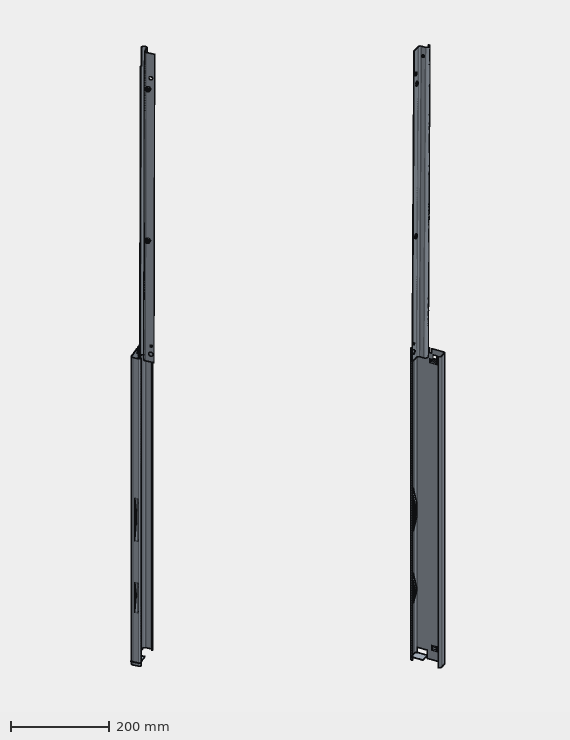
import cadquery as cq

TOTAL_HEIGHT = 1485.01
TOTAL_WIDTH = 49.43
CHANNEL_DEPTH = 70.8
MEMBER_LENGTH = 749.0
SHEET = 1.8

WEB_X = 4.5
LIP_X = 27.0
WEB_BEND = 5.5
LIP_BEND = 5.0
LIP_DEPTH = 6.0

TABS = [(37.5, 51.0, 22.0, 34.0), (33.0, 52.0, 713.0, 723.0)]
HOOK_SLOT = (42.0, 51.0, 725.0, 735.0)
END_NOTCH = (34.0, 39.0, 738.0, MEMBER_LENGTH)

STOP_CUT = (WEB_BEND, 29.0, 0.0, 20.0)
STOP_Z = 6.0
STOP_X = 25.0
STOP_Y = (SHEET, STOP_CUT[1])

RAMPS = [(304.0, 341.0, 373.0, 407.0), (130.0, 163.0, 168.0, 202.0)]
RAMP_RISE = 8.0
RAMP_X = (14.0, 21.0)

RUNNER_LEFT = 13.5
RUNNER_WEB_X = LIP_X
RUNNER_TOP = 38.5
RUNNER_FOOT = 16.5
RUNNER_LIP = 4.0
RUNNER_TILT = 4.0
ARCH_RADIUS = (RUNNER_WEB_X - RUNNER_LEFT) / 2
ARCH_X = RUNNER_LEFT + ARCH_RADIUS
ARCH_Y = RUNNER_TOP - ARCH_RADIUS
RUNNER_Z = TOTAL_HEIGHT - MEMBER_LENGTH
FLANGE_BEND = 3.5
LIP_RELIEF = 45.0

SCREW_HOLE_D = 8.0
SCREW_HOLE = (41.0, 1425.0)
COLLAR_D = 11.0
COLLAR_BORE = 8.5
COLLAR_DROP = 4.5
COLLARS = [(36.0, 1399.0), (36.0, 1031.0)]
END_HOLE_D = 5.0
END_HOLE = (43.0, 775.0)
PAD_D = 10.0
PAD_HEIGHT = 1.0
PAD = (43.0, 756.0)
WEB_HOLE_D = 6.0
WEB_HOLE_Z = 1462.0


def block(x, y, z):
    """Box from three (low, high) pairs."""
    size = (x[1] - x[0], y[1] - y[0], z[1] - z[0])
    return cq.Workplane("XY").box(*size, centered=False).translate((x[0], y[0], z[0]))


def rounded_bar(inset):
    """Full-length bar with the channel's bends, pulled in by inset on every side."""
    x = (WEB_X + inset, LIP_X - inset)
    y = (inset, CHANNEL_DEPTH - inset)
    bar = block(x, y, (0, MEMBER_LENGTH))
    bar = bar.edges("|Z and <X").fillet(WEB_BEND - inset)
    return bar.edges("|Z and >X").fillet(LIP_BEND - inset)


def web_cut(limits):
    """Cutter through the web only, from Y and Z limits."""
    return block((WEB_X - SHEET, WEB_X + 2 * SHEET), limits[:2], limits[2:])


def pressed_tab(body, limits):
    """Raise a hollow tab out of the web to X = 0."""
    y, z = limits[:2], limits[2:]
    outer = block((0, WEB_X + SHEET), y, z)
    inner_y = (y[0] + SHEET, y[1] - SHEET)
    inner_z = (z[0] + SHEET, z[1] - SHEET)
    return body.union(outer).cut(block((SHEET, WEB_X + SHEET), inner_y, inner_z))


def ramp_strip(stations, base):
    """Trapezoid ramp, its foot at Y = base, as wide as the pressing."""
    foot, flat_start, flat_end, far_foot = stations
    top = base + RAMP_RISE
    outline = [(base, foot), (top, flat_start), (top, flat_end), (base, far_foot)]
    return (cq.Workplane("YZ", origin=(RAMP_X[0], 0, 0))
            .polyline(outline).close().extrude(RAMP_X[1] - RAMP_X[0]))


def make_channel():
    body = rounded_bar(0).cut(rounded_bar(SHEET))
    mouth_y = (LIP_DEPTH, CHANNEL_DEPTH - LIP_DEPTH)
    body = body.cut(block((LIP_X - LIP_BEND, LIP_X), mouth_y, (0, MEMBER_LENGTH)))
    for stations in RAMPS:
        body = body.union(ramp_strip(stations, SHEET)).cut(ramp_strip(stations, 0))
    for tab in TABS:
        body = pressed_tab(body, tab)
    for opening in (HOOK_SLOT, END_NOTCH, STOP_CUT):
        body = body.cut(web_cut(opening))
    return body.union(block((WEB_X, STOP_X), STOP_Y, (STOP_Z, STOP_Z + SHEET)))


def runner_section(work):
    """Closed outline: flange, bend, web, arched hook and its short lip."""
    inner_web = RUNNER_WEB_X - SHEET
    inner_left = RUNNER_LEFT + SHEET
    lip_end = ARCH_Y - RUNNER_LIP
    bend_x = RUNNER_WEB_X + FLANGE_BEND
    flange_top = RUNNER_FOOT + SHEET
    bend_y = flange_top + FLANGE_BEND
    return (work.moveTo(TOTAL_WIDTH, RUNNER_FOOT)
            .lineTo(TOTAL_WIDTH, flange_top)
            .lineTo(bend_x, flange_top)
            .tangentArcPoint((RUNNER_WEB_X, bend_y), relative=False)
            .lineTo(RUNNER_WEB_X, ARCH_Y)
            .threePointArc((ARCH_X, RUNNER_TOP), (RUNNER_LEFT, ARCH_Y))
            .lineTo(RUNNER_LEFT, lip_end)
            .lineTo(inner_left, lip_end)
            .lineTo(inner_left, ARCH_Y)
            .threePointArc((ARCH_X, RUNNER_TOP - SHEET), (inner_web, ARCH_Y))
            .lineTo(inner_web, bend_y)
            .tangentArcPoint((bend_x, RUNNER_FOOT), relative=False)
            .close())


def flange_foot(z):
    """Y of the flange underside at height z on the tilted runner."""
    return RUNNER_FOOT + RUNNER_TILT * (z - RUNNER_Z) / MEMBER_LENGTH


def flange_disc(place, diameter, drop, rise):
    """Cylinder along Y at an (X, Z) place, from drop below the flange underside to rise above."""
    x, z = place
    start = flange_foot(z) - drop
    return (cq.Workplane("XZ", origin=(x, start, z))
            .circle(diameter / 2).extrude(-(drop + rise)))


def make_runner():
    lower_end = runner_section(cq.Workplane("XY", origin=(0, 0, RUNNER_Z)))
    path = (cq.Workplane("YZ", origin=(RUNNER_WEB_X, 0, 0))
            .moveTo(RUNNER_FOOT, RUNNER_Z)
            .lineTo(RUNNER_FOOT + RUNNER_TILT, TOTAL_HEIGHT))
    body = lower_end.sweep(path)
    relief_x = (RUNNER_LEFT, RUNNER_LEFT + 2 * SHEET)
    relief_y = (ARCH_Y - RUNNER_LIP, ARCH_Y + RUNNER_TILT)
    relief_z = (TOTAL_HEIGHT - LIP_RELIEF, TOTAL_HEIGHT)
    body = body.cut(block(relief_x, relief_y, relief_z))
    for place in COLLARS:
        body = body.union(flange_disc(place, COLLAR_D, COLLAR_DROP, SHEET))
        body = body.cut(flange_disc(place, COLLAR_BORE, 2 * COLLAR_DROP, 2 * SHEET))
    body = body.union(flange_disc(PAD, PAD_D, PAD_HEIGHT, SHEET))
    for place, diameter in ((SCREW_HOLE, SCREW_HOLE_D), (END_HOLE, END_HOLE_D)):
        body = body.cut(flange_disc(place, diameter, SHEET, 2 * SHEET))
    web_y = flange_foot(WEB_HOLE_Z) + (ARCH_Y - RUNNER_FOOT) / 2 + SHEET
    web_hole = (cq.Workplane("YZ", origin=(RUNNER_WEB_X - 2 * SHEET, web_y, WEB_HOLE_Z))
                .circle(WEB_HOLE_D / 2).extrude(3 * SHEET))
    return body.cut(web_hole)


channel = make_channel()
runner = make_runner()
result = cq.Compound.makeCompound([channel.solids().val(), runner.solids().val()])